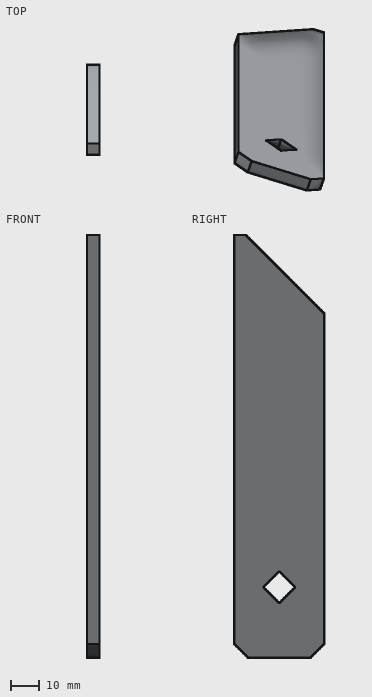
import cadquery as cq

thickness = 4.5
width = 32.0
length = 150.0

tip_flat = 4.0
tip_slant = width - tip_flat
corner_cut = 5.0

hole_side = 8.0
hole_height = 25.0
hole_turn = 45.0

half_width = width / 2

outline = [
    (-half_width + corner_cut, 0),
    (half_width - corner_cut, 0),
    (half_width, corner_cut),
    (half_width, length - tip_slant),
    (-half_width + tip_flat, length),
    (-half_width, length),
    (-half_width, corner_cut),
]
blade = cq.Workplane("YZ").polyline(outline).close().extrude(thickness)

hole = (
    cq.Workplane("YZ")
    .center(0, hole_height)
    .transformed(rotate=(0, 0, hole_turn))
    .rect(hole_side, hole_side)
    .extrude(thickness)
)

result = blade.cut(hole)